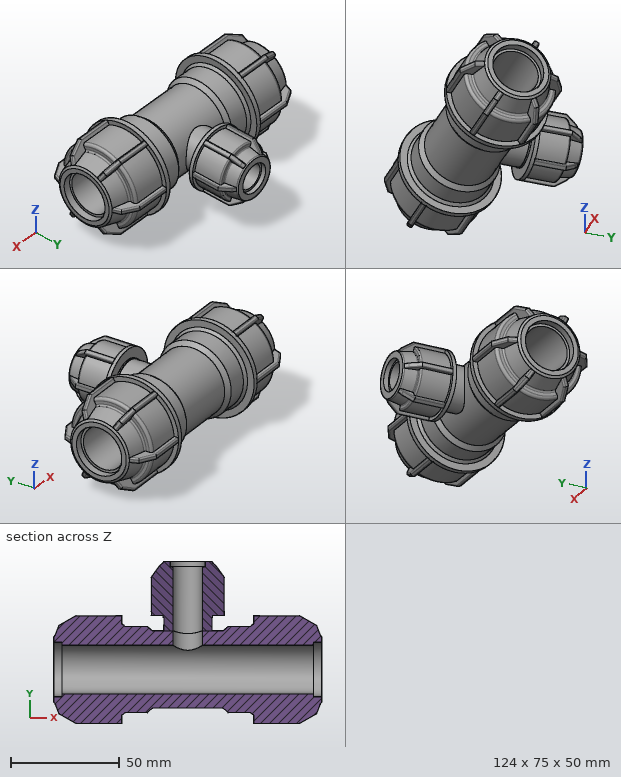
import cadquery as cq
import math


RUN_LENGTH = 124.0
RUN_PIPE_R = 36.0 / 2
RUN_BORE_R = 22.5 / 2
RUN_ENTRY_R = 25.0 / 2
RUN_ENTRY_DEPTH = 3.8
SHOULDER_R = 40.0 / 2
SHOULDER_CONE_START = 16.4
SHOULDER_START = 18.7
SHOULDER_END = 29.0
COLLAR_R = 21.3
RUN_FLANGE_R = 50.0 / 2

OVERALL_DEPTH = 75.0
BRANCH_REACH = OVERALL_DEPTH - RUN_FLANGE_R
BRANCH_PIPE_R = 22.5 / 2
BRANCH_BORE_R = 13.6 / 2
BRANCH_ENTRY_R = 16.0 / 2
BRANCH_ENTRY_DEPTH = 2.5
BRANCH_COLLAR_R = 11.5
BRANCH_COLLAR_LENGTH = 0.7

RIB_COUNT = 6

RUN_NUT = {
    "flange_r": RUN_FLANGE_R,
    "flange_start_z": 30.5,
    "flange_end_z": 33.1,
    "barrel_r": 22.6,
    "step_z": 51.7,
    "step_outer_fillet": 1.5,
    "step_inner_fillet": 0.9,
    "cone_base_r": 18.6,
    "cone_tip_r": 16.2,
    "face_r": 15.0,
    "face_chamfer": 0.7,
    "end_z": RUN_LENGTH / 2,
    "rib_root_r": 13.6,
    "rib_width": 2.7,
    "rib_fillet": 0.7,
    "rib_shoulder_z": 51.7,
    "rib_nose_z": 59.6,
    "rib_nose_r": 20.5,
}
BRANCH_NUT = {
    "flange_r": 34.0 / 2,
    "flange_start_z": 24.9,
    "flange_end_z": 26.9,
    "barrel_r": 15.3,
    "step_z": 42.7,
    "step_outer_fillet": 0.7,
    "step_inner_fillet": 0.4,
    "cone_base_r": 12.8,
    "cone_tip_r": 11.7,
    "face_r": 11.3,
    "face_chamfer": 0.7,
    "end_z": BRANCH_REACH,
    "rib_root_r": 9.9,
    "rib_width": 2.5,
    "rib_fillet": 0.4,
    "rib_shoulder_z": 42.7,
    "rib_nose_z": 47.9,
    "rib_nose_r": 13.3,
}

ARC_MID = math.sqrt(0.5)
EDGE_CLEARANCE = 0.1


def cylinder(radius, start, end):
    return cq.Workplane("XY").workplane(offset=start).circle(radius).extrude(end - start)


def nut_shell(nut):
    """Flange, barrel, rounded step and tapered end of a nut, without its bore."""
    step_z = nut["step_z"]
    outer = nut["step_outer_fillet"]
    inner = nut["step_inner_fillet"]
    outer_centre = (nut["barrel_r"] - outer, step_z - outer)
    inner_centre = (nut["cone_base_r"] + inner, step_z + inner)
    return (
        cq.Workplane("XZ")
        .moveTo(0, nut["flange_start_z"])
        .lineTo(nut["flange_r"], nut["flange_start_z"])
        .lineTo(nut["flange_r"], nut["flange_end_z"])
        .lineTo(nut["barrel_r"], nut["flange_end_z"])
        .lineTo(nut["barrel_r"], outer_centre[1])
        .threePointArc(
            (outer_centre[0] + outer * ARC_MID, outer_centre[1] + outer * ARC_MID),
            (outer_centre[0], step_z),
        )
        .lineTo(inner_centre[0], step_z)
        .threePointArc(
            (inner_centre[0] - inner * ARC_MID, inner_centre[1] - inner * ARC_MID),
            (nut["cone_base_r"], inner_centre[1]),
        )
        .lineTo(nut["cone_tip_r"], nut["end_z"] - nut["face_chamfer"])
        .lineTo(nut["face_r"], nut["end_z"])
        .lineTo(0, nut["end_z"])
        .close()
        .revolve(360, (0, 0, 0), (0, 1, 0))
    )


def nut_rib(nut):
    """One grip rib in the local XZ plane, rounded along both sides of its crest."""
    base_z = nut["flange_end_z"]
    tip_z = nut["end_z"] - nut["face_chamfer"]
    rib = (
        cq.Workplane("XZ")
        .polyline([
            (nut["rib_root_r"], base_z),
            (nut["flange_r"], base_z),
            (nut["flange_r"], nut["rib_shoulder_z"]),
            (nut["rib_nose_r"], nut["rib_nose_z"]),
            (nut["cone_tip_r"], tip_z),
            (nut["rib_root_r"], tip_z),
        ])
        .close()
        .extrude(nut["rib_width"] / 2, both=True)
    )
    edge_region = cq.selectors.BoxSelector(
        (nut["cone_tip_r"], -nut["rib_width"], base_z + EDGE_CLEARANCE),
        (nut["flange_r"] + EDGE_CLEARANCE, nut["rib_width"], nut["end_z"]),
    )
    return rib.faces("|Y").edges(edge_region).fillet(nut["rib_fillet"])


def ribbed_nut(nut):
    solid = nut_shell(nut)
    rib = nut_rib(nut)
    for i in range(RIB_COUNT):
        solid = solid.union(rib.rotate((0, 0, 0), (0, 0, 1), i * 360 / RIB_COUNT))
    return solid


def run_half():
    """Half of the run, from the tee centre to one open end."""
    pipe = (
        cq.Workplane("XZ")
        .polyline([
            (0, 0),
            (RUN_PIPE_R, 0),
            (RUN_PIPE_R, SHOULDER_CONE_START),
            (SHOULDER_R, SHOULDER_START),
            (SHOULDER_R, SHOULDER_END),
            (COLLAR_R, RUN_NUT["flange_start_z"]),
            (0, RUN_NUT["flange_start_z"]),
        ])
        .close()
        .revolve(360, (0, 0, 0), (0, 1, 0))
    )
    entry = cylinder(RUN_ENTRY_R, RUN_LENGTH / 2 - RUN_ENTRY_DEPTH, RUN_LENGTH / 2)
    bore = cylinder(RUN_BORE_R, 0, RUN_LENGTH / 2)
    return pipe.union(ribbed_nut(RUN_NUT)).cut(entry).cut(bore)


def place(solid, x_direction, axis):
    """Turn a local shape so that its Z axis follows `axis` and its first rib `x_direction`."""
    plane = cq.Plane(origin=(0, 0, 0), xDir=x_direction, normal=axis)
    return cq.Workplane(solid.val().moved(plane.location))


def branch_placed(solid):
    return place(solid, (1, 0, 0), (0, 1, 0))


def make_run():
    half = run_half()
    right = place(half, (0, 1, 0), (1, 0, 0))
    left = place(half, (0, 1, 0), (-1, 0, 0))
    side_port = branch_placed(cylinder(BRANCH_BORE_R, 0, SHOULDER_R))
    return right.union(left).cut(side_port)


def make_branch():
    collar_end = BRANCH_NUT["flange_start_z"]
    solid = cylinder(BRANCH_PIPE_R, 0, collar_end)
    solid = solid.union(cylinder(BRANCH_COLLAR_R, collar_end - BRANCH_COLLAR_LENGTH, collar_end))
    solid = solid.union(ribbed_nut(BRANCH_NUT))
    solid = solid.cut(cylinder(BRANCH_ENTRY_R, BRANCH_REACH - BRANCH_ENTRY_DEPTH, BRANCH_REACH))
    solid = solid.cut(cylinder(BRANCH_BORE_R, 0, BRANCH_REACH))
    run_envelope = place(cylinder(RUN_PIPE_R, -RUN_PIPE_R, RUN_PIPE_R), (0, 1, 0), (1, 0, 0))
    return branch_placed(solid).cut(run_envelope)


run = make_run()
branch = make_branch()
result = cq.Compound.makeCompound([run.solids().val(), branch.solids().val()])